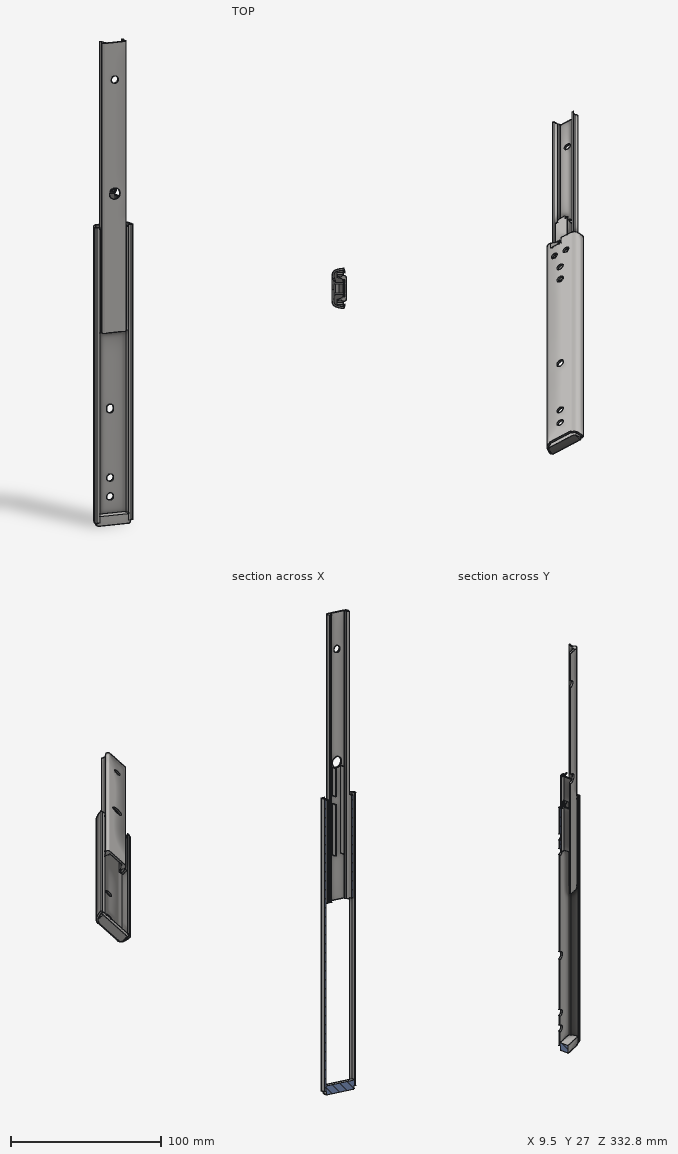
import cadquery as cq


DEPTH = 9.5
SHEET = 1.3
EXTRA = 3.3

OUTER_BACK_X = -DEPTH / 2
OUTER_LIP_X = 3.5
OUTER_HALF_WIDTH = 27.0 / 2
OUTER_BOTTOM = 2.5
OUTER_TOP = 206.0
OUTER_INSIDE_X = OUTER_BACK_X + SHEET
WEB_HALF_WIDTH = 8.5
CREASE_X = -2.3
CREASE_Y = 12.3
FLANGE_MID_X = 0.3
FLANGE_MID_Y = OUTER_HALF_WIDTH - 0.3
FLANGE_END_X = 3.15
LIP_Y = 11.5
WEB_CUT_TOP = 3.5

INNER_BACK_X = DEPTH / 2
INNER_TIP_X = -1.5
INNER_BOTTOM = 133.0
INNER_TOP = 332.8
INNER_HALF_WIDTH = 8.5
INNER_WEB_X = INNER_BACK_X - SHEET
CORNER_START_Y = 7.0
GROOVE_DEPTH = 0.83
RIDGE_X = 1.5
RIDGE_Y = INNER_HALF_WIDTH - GROOVE_DEPTH
CORNER_TOP_X = 3.3
GROOVE_MID_X = -0.3
STEP_X = 2.15
STEP_Y = 5.5

SCREW_HOLE_D = 5.0
OUTER_HOLE_HEIGHTS = (18.0, 31.0, 164.5, 176.7)
SLOT_HEIGHT = 78.5
SLOT_LENGTH = 6.0
PAIR_HOLE_D = 4.5
PAIR_HOLE_Y = 4.5
PAIR_HOLE_HEIGHT = 191.0
INNER_HOLE_HEIGHT = 307.2
RELEASE_HOLE_D = 7.5
RELEASE_HOLE_HEIGHT = 228.5

TAB_HEIGHT = 5.0
TAB_BOTTOM = OUTER_TOP - TAB_HEIGHT
TAB_ROOT_Y = 8.0
TAB_TIP_Y = 3.0
TAB_TIP_X = -2.0
TAB_SHEET = 1.0
NOTCH_END_Y = -0.5

LEVER_HALF_WIDTH = 9.0 / 2
LEG_OUTER_Y = 4.0
LEVER_BOTTOM = 164.7
LEVER_SHOULDER = 225.5
LEVER_NECK_TOP = 228.0
LEVER_NECK_HALF_WIDTH = 3.0
LEVER_TOP = 230.3
LEVER_SHEET = 1.0
LEVER_RELIEF_Y = 1.3
LEVER_RELIEF_GAP = 0.5

BUMPER_TOP = 6.5
BUMPER_FRONT_X = 2.5
BUMPER_CHAMFER = 1.0
CAGE_BACK_X = -1.3
CAGE_FRONT_X = 2.5
CAGE_INNER_Y = 9.3
CAGE_OUTER_Y = 10.5
CAGE_BOTTOM = INNER_BOTTOM
CAGE_RECESS = 1.3
CAGE_TOP = OUTER_TOP - CAGE_RECESS


def block(x_range, y_range, z_range):
    """Axis-parallel box between the given limits."""
    size = [high - low for low, high in (x_range, y_range, z_range)]
    return cq.Workplane("XY").box(*size, centered=False).translate((x_range[0], y_range[0], z_range[0]))


def web_hole(diameter, height, y=0.0):
    """Drill along X through both rails, at the given place."""
    length = INNER_BACK_X - OUTER_BACK_X + 2 * EXTRA
    start = OUTER_BACK_X - EXTRA
    return cq.Workplane("YZ", origin=(start, y, height)).circle(diameter / 2).extrude(length)


def both_halves(half_profile, bottom, top):
    """Extrude the +Y half of a cross-section and add its mirror image."""
    half = half_profile.extrude(top - bottom).translate((0, 0, bottom))
    return half.union(half.mirror("XZ"))


def outer_half_profile(inset):
    """+Y half of the outer rail's section, filled up to the open side and inset by a sheet."""
    web_x = OUTER_BACK_X + inset
    flange_middle = (FLANGE_MID_X, FLANGE_MID_Y - inset)
    return (
        cq.Workplane("XY")
        .moveTo(web_x, 0)
        .lineTo(web_x, WEB_HALF_WIDTH)
        .tangentArcPoint((CREASE_X, CREASE_Y - inset), relative=False)
        .threePointArc(flange_middle, (FLANGE_END_X, OUTER_HALF_WIDTH - inset))
        .lineTo(OUTER_LIP_X, LIP_Y - inset)
        .lineTo(OUTER_LIP_X, 0)
        .close()
    )


def inner_half_profile():
    """+Y half of the inner rail's section: web, rounded corner and ball groove."""
    return (
        cq.Workplane("XY")
        .moveTo(INNER_BACK_X, 0)
        .lineTo(INNER_BACK_X, CORNER_START_Y)
        .threePointArc((CORNER_TOP_X, INNER_HALF_WIDTH), (RIDGE_X, RIDGE_Y))
        .threePointArc((GROOVE_MID_X, RIDGE_Y), (INNER_TIP_X, INNER_HALF_WIDTH))
        .lineTo(INNER_TIP_X, INNER_HALF_WIDTH - SHEET)
        .lineTo(RIDGE_X, RIDGE_Y - SHEET)
        .lineTo(STEP_X, STEP_Y)
        .lineTo(INNER_WEB_X, STEP_Y)
        .lineTo(INNER_WEB_X, 0)
        .close()
    )


def make_stop_tab():
    """Sloped sheet tab running from the web into the rail."""
    return (
        cq.Workplane("XY", origin=(0, 0, TAB_BOTTOM))
        .polyline([
            (OUTER_BACK_X, TAB_ROOT_Y),
            (TAB_TIP_X - TAB_SHEET, TAB_TIP_Y),
            (TAB_TIP_X, TAB_TIP_Y),
            (OUTER_INSIDE_X, TAB_ROOT_Y),
        ])
        .close()
        .extrude(TAB_HEIGHT)
    )


def make_outer_rail():
    rail = both_halves(outer_half_profile(0), OUTER_BOTTOM, OUTER_TOP)
    rail = rail.cut(both_halves(outer_half_profile(SHEET), OUTER_BOTTOM, OUTER_TOP))
    web_depth = (OUTER_BACK_X, OUTER_INSIDE_X)
    rail = rail.cut(block(web_depth, (-WEB_HALF_WIDTH, WEB_HALF_WIDTH), (OUTER_BOTTOM, WEB_CUT_TOP)))
    rail = rail.cut(block(web_depth, (NOTCH_END_Y, TAB_ROOT_Y), (TAB_BOTTOM, OUTER_TOP)))
    for height in OUTER_HOLE_HEIGHTS:
        rail = rail.cut(web_hole(SCREW_HOLE_D, height))
    for side in (-1, 1):
        rail = rail.cut(web_hole(PAIR_HOLE_D, PAIR_HOLE_HEIGHT, side * PAIR_HOLE_Y))
    slot = (
        cq.Workplane("YZ", origin=(OUTER_BACK_X, 0, SLOT_HEIGHT))
        .slot2D(SLOT_LENGTH, SCREW_HOLE_D, 90)
        .extrude(SHEET)
    )
    return rail.cut(slot).union(make_stop_tab())


def make_inner_rail():
    rail = both_halves(inner_half_profile(), INNER_BOTTOM, INNER_TOP)
    rail = rail.cut(web_hole(SCREW_HOLE_D, INNER_HOLE_HEIGHT))
    return rail.cut(web_hole(RELEASE_HOLE_D, RELEASE_HOLE_HEIGHT))


def make_lever():
    """Lever with a face plate on two legs that stand on the inner web, a neck and a sloped nose."""
    face_x = OUTER_INSIDE_X
    plate_x = face_x + LEVER_SHEET
    height = (LEVER_BOTTOM, LEVER_SHOULDER)
    lever = block((face_x, plate_x), (-LEVER_HALF_WIDTH, LEVER_HALF_WIDTH), height)
    leg_inner_y = LEG_OUTER_Y - LEVER_SHEET
    for y_range in ((-LEG_OUTER_Y, -leg_inner_y), (leg_inner_y, LEG_OUTER_Y)):
        lever = lever.union(block((plate_x, INNER_WEB_X), y_range, height))
    neck_limits = (-LEVER_NECK_HALF_WIDTH, LEVER_NECK_HALF_WIDTH)
    neck = block((face_x, plate_x), neck_limits, (LEVER_SHOULDER, LEVER_NECK_TOP))
    nose_x = plate_x + LEVER_TOP - LEVER_NECK_TOP
    nose = (
        cq.Workplane("XZ", origin=(0, LEVER_NECK_HALF_WIDTH, 0))
        .polyline([
            (plate_x, LEVER_NECK_TOP),
            (nose_x, LEVER_TOP),
            (nose_x, LEVER_TOP - LEVER_SHEET),
            (plate_x, LEVER_NECK_TOP - LEVER_SHEET),
        ])
        .close()
        .extrude(2 * LEVER_NECK_HALF_WIDTH)
    )
    relief = block(
        (face_x, INNER_WEB_X),
        (LEVER_RELIEF_Y, LEVER_HALF_WIDTH),
        (TAB_BOTTOM - LEVER_RELIEF_GAP, OUTER_TOP),
    )
    return lever.union(neck).union(nose).cut(relief)


def make_bumper():
    """End bumper filling the outer rail's section and standing out below it."""
    bumper = both_halves(outer_half_profile(SHEET), 0, BUMPER_TOP)
    front = block(
        (BUMPER_FRONT_X, OUTER_LIP_X), (-OUTER_HALF_WIDTH, OUTER_HALF_WIDTH), (0, BUMPER_TOP)
    )
    side_y = OUTER_HALF_WIDTH - SHEET
    foot_y = side_y - BUMPER_CHAMFER
    side_outline = (
        cq.Workplane("YZ", origin=(OUTER_BACK_X, 0, 0))
        .polyline([
            (-foot_y, 0),
            (foot_y, 0),
            (side_y, BUMPER_CHAMFER),
            (side_y, BUMPER_TOP),
            (-side_y, BUMPER_TOP),
            (-side_y, BUMPER_CHAMFER),
        ])
        .close()
        .extrude(INNER_BACK_X - OUTER_BACK_X)
    )
    return bumper.cut(front).intersect(side_outline)


def make_ball_cage(side):
    """Strip between the two rails on the given Y side."""
    y_limits = sorted((side * CAGE_INNER_Y, side * CAGE_OUTER_Y))
    return block((CAGE_BACK_X, CAGE_FRONT_X), y_limits, (CAGE_BOTTOM, CAGE_TOP))


outer_rail = make_outer_rail()
inner_rail = make_inner_rail()
lever = make_lever()
bumper = make_bumper()
ball_cages = [make_ball_cage(side) for side in (-1, 1)]

result = cq.Compound.makeCompound([
    outer_rail.val(),
    inner_rail.val(),
    lever.val(),
    bumper.val(),
    *[cage.val() for cage in ball_cages],
])